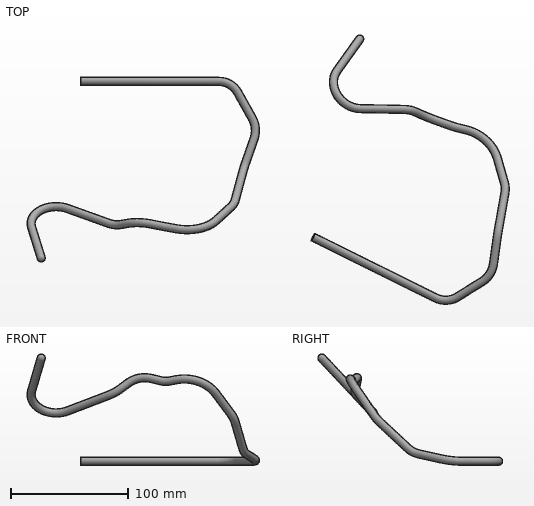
import cadquery as cq
import math


ROD_DIAMETER = 7.0
ROD_RADIUS = ROD_DIAMETER / 2

SHARED = None
FLAT_END = cq.Vector(0, 0, 0)
CORNERS = [
    ((120.54, 0, 0), SHARED),
    ((130.17, -3.03, 0), SHARED),
    ((150.80, -39.88, 0), 21.4),
    ((139.08, -73.24, 7.40), 20.9),
    ((131.20, -102.35, 34.53), SHARED),
    ((129.48, -105.46, 38.29), SHARED),
    ((103.33, -129.38, 73.47), 30.6),
    ((71.95, -123.77, 67.58), 17.1),
    ((49.18, -119.27, 73.09), 22.6),
    ((29.23, -122.73, 58.22), 21.9),
    ((-22.90, -104.03, 38.33), SHARED),
    ((-44.55, -115.05, 50.24), SHARED),
]
ROUNDED_END = cq.Vector(-33.52, -150.37, 87.76)

SHORTEST_STRAIGHT = 0.001


def half_turn(before, corner, after):
    """Half the angle that the rod turns through at a corner."""
    return (corner - before).getAngle(after - corner) / 2


def bend_radii(points, half_turns):
    """Radius of every bend; a shared radius makes the two bends fill the leg between them."""
    radii = [radius for _, radius in CORNERS]
    for i, radius in enumerate(radii):
        if radius is SHARED:
            leg = (points[i + 2] - points[i + 1]).Length
            radii[i] = leg / (math.tan(half_turns[i]) + math.tan(half_turns[i + 1]))
            radii[i + 1] = radii[i]
    return radii


def bend_arc(before, corner, after, radius, half_angle):
    """Arc of the given radius that rounds one corner, tangent to both of its legs."""
    to_before = (before - corner).normalized()
    to_after = (after - corner).normalized()
    setback = radius * math.tan(half_angle)
    corner_to_arc = radius / math.cos(half_angle) - radius
    start = corner + to_before * setback
    middle = corner + (to_before + to_after).normalized() * corner_to_arc
    end = corner + to_after * setback
    return cq.Edge.makeThreePointArc(start, middle, end)


def rod_axis():
    """Centre line of the rod: straight legs joined by tangent arcs."""
    corners = [cq.Vector(*place) for place, _ in CORNERS]
    points = [FLAT_END, *corners, ROUNDED_END]
    bends = list(zip(points, points[1:], points[2:]))
    half_turns = [half_turn(*bend) for bend in bends]
    radii = bend_radii(points, half_turns)

    edges = []
    reached = FLAT_END
    for bend, radius, half_angle in zip(bends, radii, half_turns):
        arc = bend_arc(*bend, radius, half_angle)
        if (arc.startPoint() - reached).Length > SHORTEST_STRAIGHT:
            edges.append(cq.Edge.makeLine(reached, arc.startPoint()))
        edges.append(arc)
        reached = arc.endPoint()
    edges.append(cq.Edge.makeLine(reached, ROUNDED_END))
    return cq.Wire.assembleEdges(edges)


def bent_rod():
    """Round section, normal to the first leg, swept along the rod axis."""
    return cq.Workplane("YZ", origin=FLAT_END.toTuple()).circle(ROD_RADIUS).sweep(rod_axis())


def rounded_tip():
    """Ball that closes the free end of the rod with a hemisphere."""
    return cq.Workplane("XY", origin=ROUNDED_END.toTuple()).sphere(ROD_RADIUS)


result = bent_rod().union(rounded_tip())